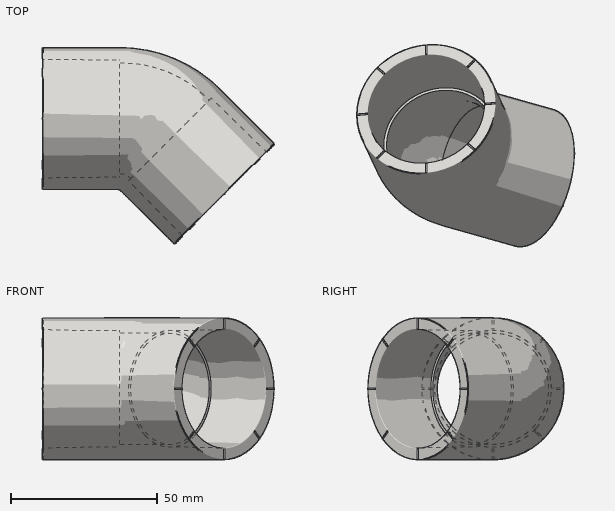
import cadquery as cq
import math

BEND_ANGLE = 45.0
LEG_LENGTH = 36.3
OUTER_RADIUS = 48.5 / 2
BORE_RADIUS = 19.0

SOCKET_MOUTH_RADIUS = 20.25
SOCKET_END_RADIUS = 19.9
SOCKET_DEPTH = 26.2
FACE_EDGE_FILLET = 0.2

OUTER_BEND_RADII = (2 * OUTER_RADIUS, 7.15, 1.9)
BORE_BEND_RADII = (41.3, 0.8, 0.8)
BEND_SECTIONS = 5
CUT_OVERRUN = 1.2

RIB_COUNT = 8
RIB_RADIUS = 0.28

MITRE_SLOPE = math.tan(math.radians(BEND_ANGLE / 2))


def bend_point(offset, bend_radius, angle):
    """Point on an arc tangent to both legs, at a signed offset from the leg axes."""
    centre = offset - bend_radius
    x = centre * MITRE_SLOPE + bend_radius * math.sin(angle)
    y = centre + bend_radius * math.cos(angle)
    return cq.Vector(x, y, 0)


def bend_half(radius, side, side_radius, crest_radius):
    """Half of the bend: half-ellipse sections from the crest to one side (+1 outer, -1 inner)."""
    wires = []
    for i in range(BEND_SECTIONS):
        angle = math.radians(BEND_ANGLE) * i / (BEND_SECTIONS - 1)
        crest = bend_point(0, crest_radius, angle)
        reach = bend_point(side * radius, side_radius, angle) - crest
        normal = reach.cross(cq.Vector(0, 0, 1))
        section = cq.Workplane(cq.Plane(crest, reach, normal))
        section = section.ellipseArc(reach.Length, radius, -90, 90, startAtCurrent=False).close()
        wires.append(section.val())
    return cq.Workplane(cq.Solid.makeLoft(wires))


def leg_rod(radius, length, bend_radii):
    """Round rod along -X, cut off where the bend begins."""
    outside, crest, inside = bend_radii
    crest_start = bend_point(0, crest, 0)
    outside_start = bend_point(radius, outside, 0)
    inside_start = bend_point(-radius, inside, 0)
    outside_end = crest_start + (outside_start - crest_start) * CUT_OVERRUN
    inside_end = crest_start + (inside_start - crest_start) * CUT_OVERRUN
    outline = [
        (-length, inside_end.y),
        (inside_end.x, inside_end.y),
        (crest_start.x, crest_start.y),
        (outside_end.x, outside_end.y),
        (-length, outside_end.y),
    ]
    keep = cq.Workplane("XY").polyline(outline).close().extrude(2 * radius, both=True)
    rod = cq.Workplane("YZ").workplane(offset=-length).circle(radius).extrude(2 * length)
    return rod.intersect(keep)


def other_leg(shape):
    """Copy of a leg feature on the second leg."""
    return shape.rotate((0, 0, 0), (MITRE_SLOPE, 1, 0), 180)


def bent_rod(radius, length, bend_radii):
    """Two legs joined by the rounded bend."""
    outside, crest, inside = bend_radii
    leg = leg_rod(radius, length, bend_radii)
    rod = leg.union(bend_half(radius, 1, outside, crest))
    rod = rod.union(bend_half(radius, -1, inside, crest))
    return rod.union(other_leg(leg))


def socket():
    """Tapered socket space in the first leg."""
    profile = [
        (-LEG_LENGTH, 0),
        (-LEG_LENGTH, SOCKET_MOUTH_RADIUS),
        (SOCKET_DEPTH - LEG_LENGTH, SOCKET_END_RADIUS),
        (SOCKET_DEPTH - LEG_LENGTH, 0),
    ]
    return cq.Workplane("XY").polyline(profile).close().revolve(360, (0, 0, 0), (1, 0, 0))


def face_ribs():
    """Half-round ribs spread evenly over the first socket face."""
    inner_end = SOCKET_MOUTH_RADIUS + FACE_EDGE_FILLET
    length = OUTER_RADIUS - FACE_EDGE_FILLET - inner_end
    rib = cq.Workplane("XY", origin=(-LEG_LENGTH, 0, inner_end)).circle(RIB_RADIUS).extrude(length)
    ribs = cq.Workplane("XY")
    for i in range(RIB_COUNT):
        ribs = ribs.add(rib.rotate((0, 0, 0), (1, 0, 0), 360 / RIB_COUNT * i))
    return ribs.combine()


body = bent_rod(OUTER_RADIUS, LEG_LENGTH, OUTER_BEND_RADII)
body = body.cut(bent_rod(BORE_RADIUS, LEG_LENGTH, BORE_BEND_RADII))
body = body.cut(socket()).cut(other_leg(socket()))

for socket_face in ("<X", ">(1, -1, 0)"):
    body = body.faces(socket_face).edges().fillet(FACE_EDGE_FILLET)

result = body.union(face_ribs()).union(other_leg(face_ribs()))